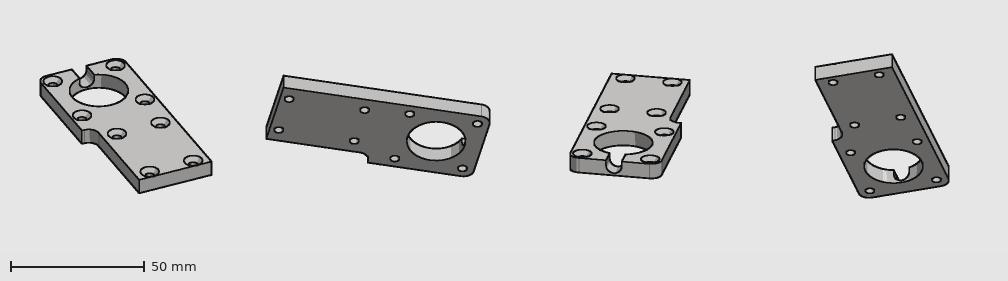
import cadquery as cq

length = 80.0
head_width = 35.0
head_length = 40.0
tail_width = 30.0
thickness = 6.0
corner_radius = 4.0

bore_diameter = 22.0
bore_inset = head_width / 2

channel_width = 6.0
channel_depth = 5.0

screw_diameter = 3.4
countersink_diameter = 7.0
countersink_angle = 90.0
head_pitch = 26.0
tail_pitch_x = 29.0
tail_pitch_y = 18.0

left = -length / 2
right = length / 2
bottom = -head_width / 2
top = head_width / 2
step_x = left + head_length
step_y = top - tail_width
bore_x = left + bore_inset
bore_y = top - bore_inset
tail_holes_x = right - countersink_diameter / 2 - tail_pitch_x / 2
tail_holes_y = top - tail_width / 2


def make_plate():
    """Stepped plate with rounded -X corners and a filleted inner step."""
    outline = (
        cq.Workplane("XY")
        .moveTo(left, bottom)
        .lineTo(step_x, bottom)
        .lineTo(step_x, step_y)
        .lineTo(right, step_y)
        .lineTo(right, top)
        .lineTo(left, top)
        .close()
    )
    plate = outline.extrude(thickness)
    plate = plate.edges("|Z and <X").fillet(corner_radius)
    step_edge = cq.selectors.NearestToPointSelector((step_x, step_y, thickness / 2))
    return plate.edges("|Z").edges(step_edge).fillet(corner_radius)


def cut_bore(plate):
    """Through bore at the -X end."""
    bore = cq.Workplane("XY").center(bore_x, bore_y).circle(bore_diameter / 2).extrude(thickness)
    return plate.cut(bore)


def cut_channel(plate):
    """U-shaped channel, open at the top, running from the -X edge to the bore centre."""
    radius = channel_width / 2
    axis_z = thickness - channel_depth + radius
    channel = (
        cq.Workplane("YZ", origin=(left, bore_y, 0))
        .moveTo(-radius, thickness)
        .lineTo(-radius, axis_z)
        .threePointArc((0, axis_z - radius), (radius, axis_z))
        .lineTo(radius, thickness)
        .close()
        .extrude(bore_inset)
    )
    return plate.cut(channel)


def drill_screw_holes(plate, center, pitch_x, pitch_y):
    """Rectangle of four screw holes, countersunk from the top face."""
    return (
        plate.faces(">Z")
        .workplane(origin=(center[0], center[1], thickness))
        .rarray(pitch_x, pitch_y, 2, 2)
        .cskHole(screw_diameter, countersink_diameter, countersink_angle)
    )


result = make_plate()
result = cut_bore(result)
result = cut_channel(result)
result = drill_screw_holes(result, (bore_x, bore_y), head_pitch, head_pitch)
result = drill_screw_holes(result, (tail_holes_x, tail_holes_y), tail_pitch_x, tail_pitch_y)